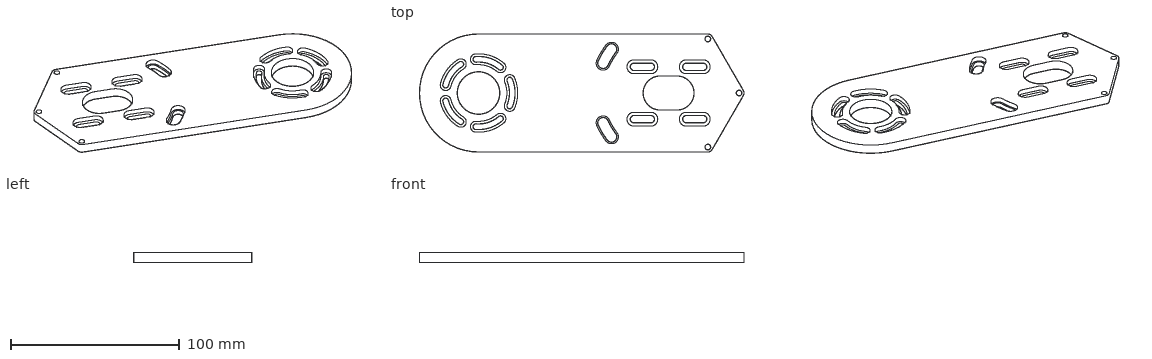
import cadquery as cq
import math

thickness = 6.0
width = 70.0
overall_length = 192.23
end_radius = width / 2
corner_radius = 3.0
point_half_angle = 60.0

corner_hole_diameter = 3.2
corner_y = end_radius - corner_radius
tip_x = overall_length - end_radius - corner_radius
shoulder_x = tip_x - corner_y / math.tan(math.radians(point_half_angle))

round_opening_diameter = 25.0
ring_slot_count = 5
ring_slot_radius = 20.0
ring_slot_span = 45.0
ring_slot_width = 3.2
ring_recess_width = 2 * ring_slot_width

oblong_x = 112.5
oblong_opening_width = 20.0
oblong_opening_travel = 10.0
straight_slot_pitch = 31.0
straight_slot_travel = 10.0
straight_slot_width = 4.2
straight_recess_width = 8.2

side_slot_radius = 42.6
side_slot_direction = 149.0
side_slot_span = 13.0
side_slot_width = 6.2
side_recess_width = 8.2

recess_depth = 3.0
recess_floor = thickness - recess_depth


def polar(radius, angle):
    """Point at the given radius and angle in degrees."""
    return (radius * math.cos(math.radians(angle)), radius * math.sin(math.radians(angle)))


def corner_arc_points(center_x, center_y, start_angle, end_angle):
    """Middle and end points of a corner arc."""
    points = []
    for angle in ((start_angle + end_angle) / 2, end_angle):
        offset_x, offset_y = polar(corner_radius, angle)
        points.append((center_x + offset_x, center_y + offset_y))
    return points


def make_plate():
    """Plate with one round end and one pointed end with rounded corners."""
    slope_normal = 90.0 - point_half_angle
    lower_shoulder = corner_arc_points(shoulder_x, -corner_y, -90.0, -slope_normal)
    tip = corner_arc_points(tip_x, 0, -slope_normal, slope_normal)
    upper_shoulder = corner_arc_points(shoulder_x, corner_y, slope_normal, 90.0)
    tip_start = (tip[1][0], -tip[1][1])
    upper_start = (lower_shoulder[1][0], -lower_shoulder[1][1])
    return (
        cq.Workplane("XY")
        .moveTo(0, -end_radius)
        .lineTo(shoulder_x, -end_radius)
        .threePointArc(*lower_shoulder)
        .lineTo(*tip_start)
        .threePointArc(*tip)
        .lineTo(*upper_start)
        .threePointArc(*upper_shoulder)
        .lineTo(0, end_radius)
        .threePointArc((-end_radius, 0), (0, -end_radius))
        .close()
        .extrude(thickness)
    )


def straight_slot(center_x, center_y, travel, slot_width, bottom_z):
    """Cutter for a slot along X, from bottom_z up to the top face."""
    return (
        cq.Workplane("XY", origin=(center_x, center_y, bottom_z))
        .slot2D(travel + slot_width, slot_width)
        .extrude(thickness - bottom_z)
    )


def arc_slot(center_x, radius, direction, span, slot_width, bottom_z):
    """Cutter for a round-ended arc slot about (center_x, 0), up to the top face."""
    half_span = span / 2
    inner = radius - slot_width / 2
    outer = radius + slot_width / 2
    cap_overrun = math.degrees(slot_width / 2 / radius)
    return (
        cq.Workplane("XY", origin=(center_x, 0, bottom_z))
        .moveTo(*polar(inner, -half_span))
        .threePointArc(polar(inner, 0), polar(inner, half_span))
        .threePointArc(polar(radius, half_span + cap_overrun), polar(outer, half_span))
        .threePointArc(polar(outer, 0), polar(outer, -half_span))
        .threePointArc(polar(radius, -half_span - cap_overrun), polar(inner, -half_span))
        .close()
        .extrude(thickness - bottom_z)
        .rotate((center_x, 0, 0), (center_x, 0, 1), direction)
    )


def cut_openings(plate):
    """Round and oblong openings through the plate."""
    round_opening = cq.Workplane("XY").circle(round_opening_diameter / 2).extrude(thickness)
    oblong_opening = straight_slot(oblong_x, 0, oblong_opening_travel, oblong_opening_width, 0)
    return plate.cut(round_opening).cut(oblong_opening)


def cut_corner_holes(plate):
    """Small through holes in the three corners of the pointed end."""
    centers = [(shoulder_x, corner_y), (tip_x, 0), (shoulder_x, -corner_y)]
    holes = cq.Workplane("XY").pushPoints(centers).circle(corner_hole_diameter / 2).extrude(thickness)
    return plate.cut(holes)


def cut_ring_slots(plate):
    """Ring of recessed arc slots around the round opening."""
    for index in range(ring_slot_count):
        direction = index * 360.0 / ring_slot_count
        for slot_width, bottom_z in ((ring_slot_width, 0), (ring_recess_width, recess_floor)):
            plate = plate.cut(
                arc_slot(0, ring_slot_radius, direction, ring_slot_span, slot_width, bottom_z)
            )
    return plate


def cut_straight_slots(plate):
    """Four recessed straight slots around the oblong opening."""
    half_pitch = straight_slot_pitch / 2
    for side_x in (-1, 1):
        for side_y in (-1, 1):
            center_x = oblong_x + side_x * half_pitch
            center_y = side_y * half_pitch
            for slot_width, bottom_z in ((straight_slot_width, 0), (straight_recess_width, recess_floor)):
                plate = plate.cut(
                    straight_slot(center_x, center_y, straight_slot_travel, slot_width, bottom_z)
                )
    return plate


def cut_side_slots(plate):
    """Mirrored pair of recessed arc slots."""
    for side in (-1, 1):
        direction = side * side_slot_direction
        for slot_width, bottom_z in ((side_slot_width, 0), (side_recess_width, recess_floor)):
            plate = plate.cut(
                arc_slot(oblong_x, side_slot_radius, direction, side_slot_span, slot_width, bottom_z)
            )
    return plate


result = make_plate()
result = cut_openings(result)
result = cut_corner_holes(result)
result = cut_ring_slots(result)
result = cut_straight_slots(result)
result = cut_side_slots(result)